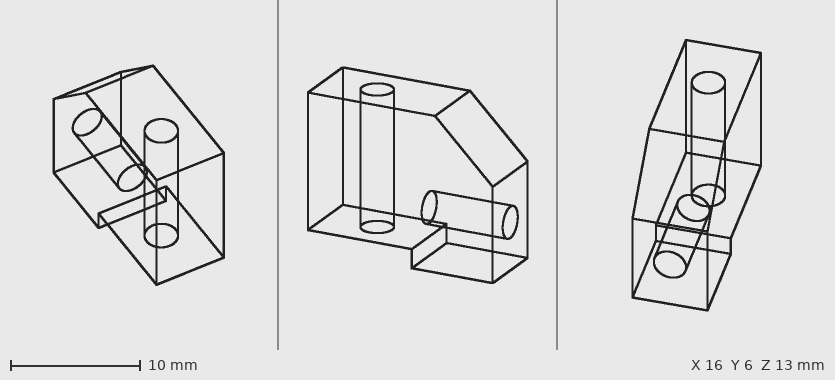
import cadquery as cq

length = 16.0
width = 6.0
height = 13.0

chamfer = 5.0
foot_length = 7.0
foot_height = 1.58

hole_diameter = 2.6
vertical_hole_x = 11.5
end_hole_z = 4.0
end_hole_depth = foot_length


def make_body():
    """Block with a sloped upper corner and a foot below one end, centred on Y."""
    outline = [
        (0, 0),
        (foot_length, 0),
        (foot_length, foot_height),
        (length, foot_height),
        (length, height),
        (chamfer, height),
        (0, height - chamfer),
    ]
    return cq.Workplane("XZ").polyline(outline).close().extrude(width / 2, both=True)


def make_vertical_hole():
    """Cutter that passes right through the block along Z."""
    return cq.Workplane("XY").center(vertical_hole_x, 0).circle(hole_diameter / 2).extrude(height)


def make_end_hole():
    """Cutter for the blind hole entering the upright end face along +X."""
    return cq.Workplane("YZ").center(0, end_hole_z).circle(hole_diameter / 2).extrude(end_hole_depth)


result = make_body().cut(make_vertical_hole()).cut(make_end_hole())